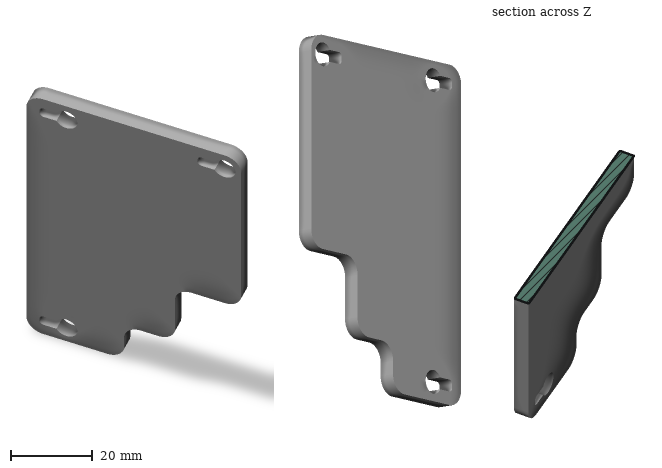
import cadquery as cq

width = 57.0
thickness = 4.0
height = 85.0
corner_radius = 4.4

lower_step_x = 25.9
lower_step_z = 12.15
upper_step_x = 39.4
upper_step_z = 31.5

hole_diameter = 5.95
slot_height = 3.0
slot_reach = 7.05
slot_corner_radius = 1.0
hole_left_x = 10.5
hole_spacing_x = 42.0
hole_edge_z = 4.85

hole_right_x = hole_left_x + hole_spacing_x
hole_top_z = height - hole_edge_z
hole_centers = [
    (hole_left_x, hole_top_z),
    (hole_right_x, hole_top_z),
    (hole_left_x, hole_edge_z),
]


def extrude_through(outline):
    """Extrude an XZ outline from the front face (Y = 0) to the back face."""
    return outline.extrude(-thickness)


def make_plate():
    outline = [
        (0, 0),
        (lower_step_x, 0),
        (lower_step_x, lower_step_z),
        (upper_step_x, lower_step_z),
        (upper_step_x, upper_step_z),
        (width, upper_step_z),
        (width, height),
        (0, height),
    ]
    plate = extrude_through(cq.Workplane("XZ").polyline(outline).close())
    return plate.edges("|Y").fillet(corner_radius)


def make_keyhole(x, z):
    hole = extrude_through(cq.Workplane("XZ").center(x, z).circle(hole_diameter / 2))
    slot_center_x = x - slot_reach / 2
    slot = extrude_through(cq.Workplane("XZ").center(slot_center_x, z).rect(slot_reach, slot_height))
    slot = slot.edges("|Y and <X").fillet(slot_corner_radius)
    return hole.union(slot)


result = make_plate()
for center_x, center_z in hole_centers:
    result = result.cut(make_keyhole(center_x, center_z))